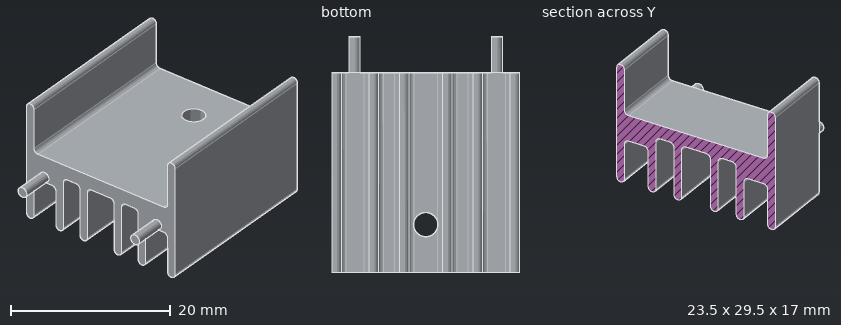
import cadquery as cq


body_width = 23.5
body_length = 25.0
body_height = 17.0

fin_thickness = 1.2
corner_radius = 0.6
tip_radius = fin_thickness / 2
tray_depth = 7.0
base_thickness = 2.0
outer_channel_height = 6.25
inner_fin_x = 2.7
outer_fin_x = 6.5

hole_diameter = 3.0
hole_from_back = 6.0

pin_diameter = 1.4
pin_length = 4.5
pin_x = 8.9
pin_depth_from_top = 10.0

top_z = body_height / 2
bottom_z = -body_height / 2
front_y = -body_length / 2
back_y = body_length / 2
tray_floor_z = top_z - tray_depth
base_bottom_z = tray_floor_z - base_thickness
outer_channel_roof_z = bottom_z + outer_channel_height
half_fin = fin_thickness / 2
wall_x = body_width / 2 - half_fin
wall_inner_x = wall_x - half_fin
upper_tip_z = top_z - tip_radius
lower_tip_z = bottom_z + tip_radius


def channel(x_left, x_right, z_low, z_high):
    """Full-length rectangular channel between two X and two Z positions."""
    width = x_right - x_left
    height = z_high - z_low
    return cq.Workplane("XY").box(width, body_length, height).translate(
        ((x_left + x_right) / 2, 0, (z_low + z_high) / 2)
    )


def floor_channel(x_left, x_right):
    """Open-topped tray with rounded floor corners."""
    return channel(x_left, x_right, tray_floor_z, top_z).edges("|Y and <Z").fillet(corner_radius)


def fin_channel(x_left, x_right, roof_z):
    """Open-bottomed channel with rounded roof corners."""
    return channel(x_left, x_right, bottom_z, roof_z).edges("|Y and >Z").fillet(corner_radius)


def make_tips():
    """Full-length cylinders that round the tips of the walls and fins."""
    upper_tips = [(-wall_x, upper_tip_z), (wall_x, upper_tip_z)]
    lower_tips = []
    for x in (inner_fin_x, outer_fin_x, wall_x):
        lower_tips += [(-x, lower_tip_z), (x, lower_tip_z)]
    return (
        cq.Workplane("XZ", origin=(0, back_y, 0))
        .pushPoints(upper_tips + lower_tips)
        .circle(tip_radius)
        .extrude(body_length)
    )


def make_body():
    block_height = upper_tip_z - lower_tip_z
    body = cq.Workplane("XY").box(body_width, body_length, block_height)
    body = body.cut(floor_channel(-wall_inner_x, wall_inner_x))

    centre_half_width = inner_fin_x - half_fin
    body = body.cut(fin_channel(-centre_half_width, centre_half_width, base_bottom_z))

    side_channels = [
        (inner_fin_x + half_fin, outer_fin_x - half_fin, base_bottom_z),
        (outer_fin_x + half_fin, wall_inner_x, outer_channel_roof_z),
    ]
    for x_near, x_far, roof_z in side_channels:
        body = body.cut(fin_channel(x_near, x_far, roof_z))
        body = body.cut(fin_channel(-x_far, -x_near, roof_z))

    return body.union(make_tips())


def make_mounting_hole():
    hole = cq.Workplane("XY").circle(hole_diameter / 2).extrude(base_thickness)
    return hole.translate((0, back_y - hole_from_back, base_bottom_z))


def make_pins():
    pin_z = top_z - pin_depth_from_top
    return (
        cq.Workplane("XZ", origin=(0, front_y, pin_z))
        .pushPoints([(-pin_x, 0), (pin_x, 0)])
        .circle(pin_diameter / 2)
        .extrude(pin_length)
    )


result = make_body().cut(make_mounting_hole()).union(make_pins())